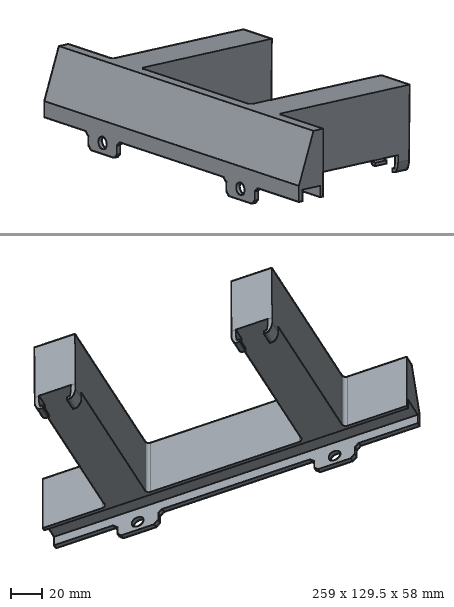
import cadquery as cq
import math

length = 259.0
depth = 129.5
height = 58.0

bar_bottom = 12.5
bar_depth = 20.2
slope_start = 23.3
slope_setback = 12.2
wall = 3.0
rear_lip = 2.3
notch_top = 20.2

arm_width = 29.0
first_arm_x = 59.3
arm_pitch = 140.0
arm_centers = [first_arm_x, first_arm_x + arm_pitch]
arm_root_fillet = 2.5
pick_margin = 0.3
rear_draft = 0.5
tab_bottom = 0.8
tab_chamfer = 2.8
hole_diameter = 8.3
hole_z = 8.3

hook_curve_width = 4.7
hook_curve_height = 7.8
hook_wall = 3.0
hook_floor = 2.3
hook_reach = 6.0
hook_front = 119.7


def make_bar():
    """Sloped bar with a channel along its underside."""
    outline = [
        (0, bar_bottom),
        (0, slope_start),
        (slope_setback, height),
        (bar_depth, height),
        (bar_depth, bar_bottom),
        (bar_depth - rear_lip, bar_bottom),
        (bar_depth - rear_lip, notch_top),
        (wall, notch_top),
        (wall, bar_bottom),
    ]
    return cq.Workplane("YZ").polyline(outline).close().extrude(length)


def make_arm(center_x):
    """Arm running back from the bar, with a slightly leaning rear face."""
    outline = [
        (bar_depth - rear_lip, bar_bottom),
        (bar_depth - rear_lip, height),
        (depth, height),
        (depth - rear_draft, bar_bottom),
    ]
    left = center_x - arm_width / 2
    return cq.Workplane("YZ", origin=(left, 0, 0)).polyline(outline).close().extrude(arm_width)


def make_tab(center_x):
    """Thin tab with flared shoulders, chamfered lower corners and a hole."""
    half = arm_width / 2
    right_side = [
        (half + tab_chamfer, bar_bottom),
        (half, bar_bottom - tab_chamfer),
        (half, tab_bottom + tab_chamfer),
        (half - tab_chamfer, tab_bottom),
    ]
    left_side = [(-x, z) for x, z in reversed(right_side)]
    top = [(-half - tab_chamfer, notch_top), (half + tab_chamfer, notch_top)]
    plane = cq.Workplane("XZ", origin=(center_x, 0, 0))
    tab = plane.polyline(right_side + left_side + top).close().extrude(-wall)
    hole = plane.center(0, hole_z).circle(hole_diameter / 2).extrude(-wall)
    return tab.cut(hole)


def make_hook(center_x, side):
    """Hook curling inward from one side of an arm; side is -1 or 1."""
    def place(inset, z):
        """Point at a distance inward from the side face of the arm."""
        return (side * (arm_width / 2 - inset), z)

    def curve_middle(inset_start, bottom, width, rise):
        """Middle point of an elliptical quarter turn."""
        share = 1 - math.sqrt(0.5)
        return place(inset_start + width * share, bottom + rise * share)

    inner_width = hook_curve_width - hook_wall
    inner_rise = hook_curve_height - hook_floor
    plane = cq.Workplane("XZ", origin=(center_x, depth - rear_draft, 0))
    outline = (
        plane.moveTo(*place(0, bar_bottom))
        .lineTo(*place(0, hook_curve_height))
        .spline(
            [curve_middle(0, 0, hook_curve_width, hook_curve_height), place(hook_curve_width, 0)],
            tangents=[(0, -1), (-side, 0)],
            includeCurrent=True,
        )
        .lineTo(*place(hook_reach, 0))
        .lineTo(*place(hook_reach, hook_floor))
        .lineTo(*place(hook_curve_width, hook_floor))
        .spline(
            [
                curve_middle(hook_wall, hook_floor, inner_width, inner_rise),
                place(hook_wall, hook_curve_height),
            ],
            tangents=[(side, 0), (0, 1)],
            includeCurrent=True,
        )
        .lineTo(*place(hook_wall, bar_bottom))
        .close()
    )
    return outline.extrude(depth - rear_draft - hook_front)


result = make_bar()
for arm_x in arm_centers:
    result = result.union(make_arm(arm_x))

for arm_x in arm_centers:
    for side in (-1, 1):
        corner_x = arm_x + side * arm_width / 2
        corner = cq.selectors.BoxSelector(
            (corner_x - pick_margin, bar_depth - pick_margin, 0),
            (corner_x + pick_margin, bar_depth + pick_margin, height),
        )
        result = result.edges("|Z").edges(corner).fillet(arm_root_fillet)

for arm_x in arm_centers:
    result = result.union(make_tab(arm_x))
    for side in (-1, 1):
        result = result.union(make_hook(arm_x, side))